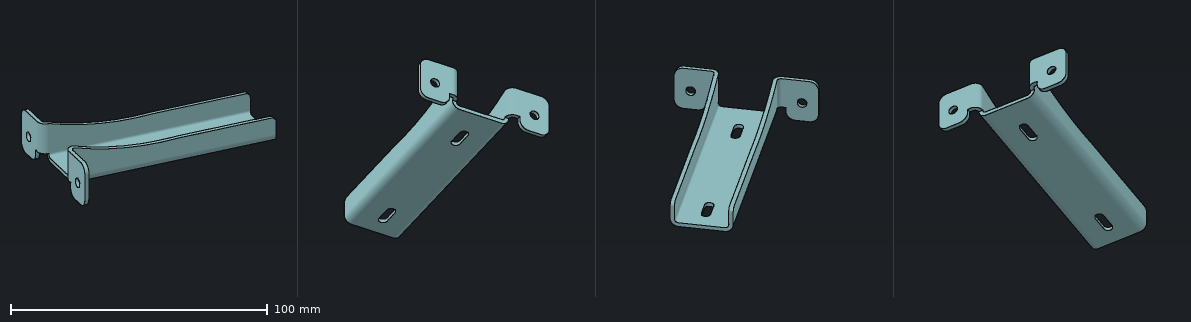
import cadquery as cq
import math

sheet = 1.8
bend_inner = 1.5
bend_outer = bend_inner + sheet

length = 90.55
channel_width = 25.2
wall_outer = channel_width / 2
wall_inner = wall_outer - sheet
floor_half = wall_outer - bend_outer

wall_low = 11.05
wall_top = 16.5
sweep_start = 48.35
sweep_radius = 126.8
wall_corner = 2.0

overall_width = 57.6
tab_height = 18.6
tab_outer = overall_width / 2
tab_root = wall_inner + bend_outer
tab_bottom = wall_top - tab_height
tab_lobe_width = 13.1
tab_corner = 3.8
tab_hole_diameter = 3.8
tab_hole_x = 22.2
tab_hole_z = 6.25

slot_length = 10.1
slot_width = 3.6
slot_first_y = 20.1
slot_spacing = 58.6


def arc_middle(center_across, center_up, radius, angle_degrees):
    """Point on a circle in the sketch plane: the middle of a quarter-round arc."""
    angle = math.radians(angle_degrees)
    return center_across + radius * math.cos(angle), center_up + radius * math.sin(angle)


def make_floor():
    """Flat floor with the two bends that lead up into the walls."""
    right_inner = arc_middle(floor_half, bend_outer, bend_inner, -45)
    right_outer = arc_middle(floor_half, bend_outer, bend_outer, -45)
    left_inner = (-right_inner[0], right_inner[1])
    left_outer = (-right_outer[0], right_outer[1])
    return (
        cq.Workplane("XZ", origin=(0, length, 0))
        .moveTo(-floor_half, 0)
        .lineTo(floor_half, 0)
        .threePointArc(right_outer, (wall_outer, bend_outer))
        .lineTo(wall_inner, bend_outer)
        .threePointArc(right_inner, (floor_half, sheet))
        .lineTo(-floor_half, sheet)
        .threePointArc(left_inner, (-wall_inner, bend_outer))
        .lineTo(-wall_outer, bend_outer)
        .threePointArc(left_outer, (-floor_half, 0))
        .close()
        .extrude(length - bend_outer)
    )


def make_wall():
    """Wall on the +X side, with its top edge sweeping up towards the tab."""
    corner_middle = arc_middle(length - wall_corner, wall_low - wall_corner, wall_corner, 45)
    return (
        cq.Workplane("YZ", origin=(wall_inner, 0, 0))
        .moveTo(bend_outer, bend_outer)
        .lineTo(length, bend_outer)
        .lineTo(length, wall_low - wall_corner)
        .threePointArc(corner_middle, (length - wall_corner, wall_low))
        .lineTo(sweep_start, wall_low)
        .radiusArc((bend_outer, wall_top), sweep_radius)
        .close()
        .extrude(sheet)
    )


def make_tab_bend():
    """Upright quarter bend that turns the +X wall outward into its tab."""
    return (
        cq.Workplane("XY", origin=(0, 0, bend_outer))
        .moveTo(wall_inner, bend_outer)
        .threePointArc(arc_middle(tab_root, bend_outer, bend_outer, 225), (tab_root, 0))
        .lineTo(tab_root, sheet)
        .threePointArc(arc_middle(tab_root, bend_outer, bend_inner, 225), (wall_outer, bend_outer))
        .close()
        .extrude(wall_top - bend_outer)
    )


def make_tab():
    """Flat +X tab: a rounded lobe reaching below the bend, with a screw hole."""
    lobe_inner = tab_outer - tab_lobe_width
    lobe = (
        cq.Workplane("XZ")
        .moveTo(lobe_inner, tab_bottom)
        .lineTo(tab_outer, tab_bottom)
        .lineTo(tab_outer, wall_top)
        .lineTo(lobe_inner, wall_top)
        .close()
        .extrude(-sheet)
    )
    lobe = lobe.edges("|Y and >X").fillet(tab_corner)
    lobe = lobe.edges("|Y and <X and <Z").fillet(tab_corner)
    neck = cq.Workplane("XY").box(
        lobe_inner - tab_root, sheet, wall_top - bend_outer, centered=False
    ).translate((tab_root, 0, bend_outer))
    hole = (
        cq.Workplane("XZ")
        .center(tab_hole_x, tab_hole_z)
        .circle(tab_hole_diameter / 2)
        .extrude(-sheet)
    )
    return lobe.union(neck).cut(hole)


def make_slots():
    """Two lengthwise slots through the floor, on its centreline."""
    centers = [(0, slot_first_y), (0, slot_first_y + slot_spacing)]
    return (
        cq.Workplane("XY")
        .pushPoints(centers)
        .slot2D(slot_length, slot_width, 90)
        .extrude(sheet)
    )


side = make_wall().union(make_tab_bend()).union(make_tab())
bracket = make_floor().union(side).union(side.mirror("YZ")).cut(make_slots())

result = cq.Compound.makeCompound([bracket.val()])